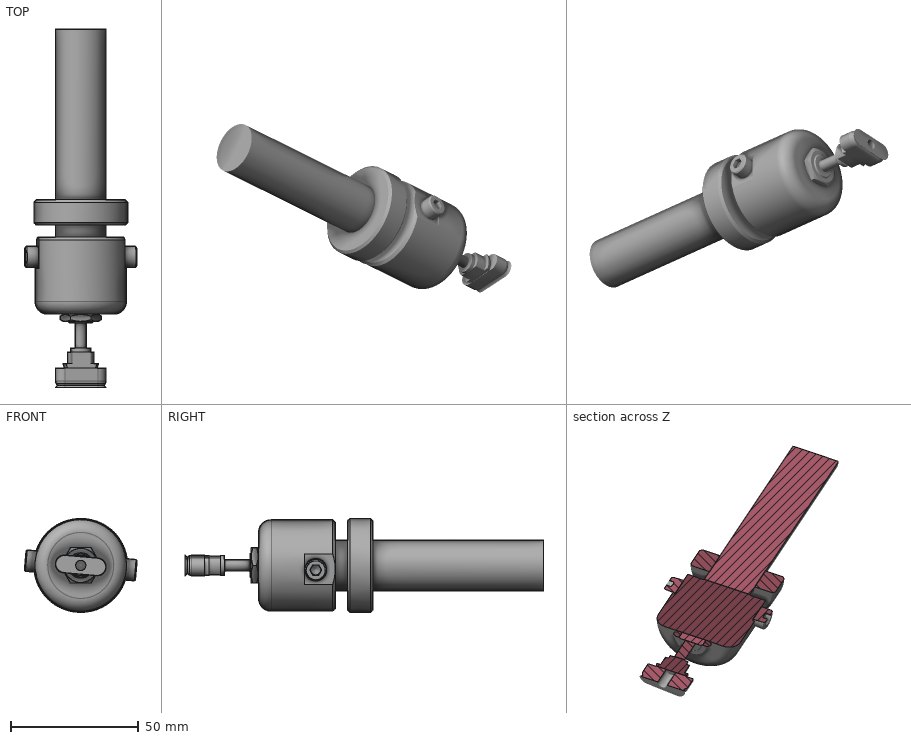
import cadquery as cq
import math


shaft_dia = 20.0
shaft_tail_length = 67.12

ring_dia = 37.0
ring_length = 10.0
ring_chamfer = 1.0
ring_gap = 4.75

cap_dia = 36.0
cap_length = 30.25
cap_nose_radius = 5.0
cap_rear_chamfer = 1.1

turn_angle = 5.0
flat_width = 12.0
flat_length = 12.25

screw_dia = 8.5
screw_head_height = 5.0
screw_setback = 7.75
screw_edge_chamfer = 0.5
socket_flats = 4.0
socket_depth = 2.0
socket_tip_height = 1.1

nut_flats = 14.0
nut_thickness = 3.0
nut_chamfer_dia = 13.4
nut_chamfer_angle = 30.0

bushing_dia = 10.0
bushing_length = 3.4
bushing_chamfer = 0.5

stem_dia = 4.5
stem_flare = 0.3

collar_dia = 8.0
neck_dia = 10.6
flange_dia = 14.0
flange_front_dia = 13.0
fitting_flats = 6.8
neck_edge_fillet = 0.5

collar_back = -13.4
neck_back = -15.0
flange_back = -19.5
cup_back = -21.2
taper_start = -26.3
taper_end = -27.2
groove_bottom = -28.0
cup_front = -28.95

cup_width = 20.0
cup_thickness = 7.0
groove_depth = 0.85
taper_inset = 0.2
air_hole_dia = 4.0

flat_offset = math.sqrt((cap_dia / 2) ** 2 - (flat_width / 2) ** 2)
cap_rear = cap_length
ring_front = cap_rear + ring_gap
ring_rear = ring_front + ring_length
shaft_end = ring_rear + shaft_tail_length
cup_radius = cup_thickness / 2
cup_center = cup_width / 2 - cup_radius
groove_radius = cup_radius - groove_depth


def rod(diameter, y_start, y_end):
    """Cylinder on the Y axis between two places."""
    return cq.Workplane("XZ", origin=(0, y_start, 0)).circle(diameter / 2).extrude(y_start - y_end)


def turned(body):
    """Body swung about the common axis by the shared turn angle."""
    return body.rotate((0, 0, 0), (0, 1, 0), turn_angle)


def make_shaft():
    return rod(shaft_dia, cap_rear, shaft_end)


def make_ring():
    """Collar with chamfered rims and a bore for the shaft."""
    blank = rod(ring_dia, ring_front, ring_rear).edges().chamfer(ring_chamfer)
    return blank.cut(rod(shaft_dia, ring_front, ring_rear))


def make_cap():
    """Solid cap with a rounded nose and two flat seats for the screws."""
    cap = rod(cap_dia, 0, cap_length)
    cap = cap.faces("<Y").edges().fillet(cap_nose_radius)
    cap = cap.faces(">Y").edges().chamfer(cap_rear_chamfer)
    for side in (-1, 1):
        cutter = cq.Workplane("XY").box(cap_dia, flat_length, cap_dia)
        cutter = cutter.translate((side * (flat_offset + cap_dia / 2), cap_rear - flat_length / 2, 0))
        cap = cap.cut(cutter)
    return turned(cap)


def make_screw(side):
    """Socket head standing on one of the flats of the cap."""
    head = cq.Workplane("XY").circle(screw_dia / 2).extrude(screw_head_height)
    head = head.faces(">Z").edges().chamfer(screw_edge_chamfer)
    corner_dia = socket_flats / math.cos(math.pi / 6)
    socket_floor = screw_head_height - socket_depth
    socket = cq.Workplane("XY", origin=(0, 0, socket_floor)).polygon(6, corner_dia).extrude(socket_depth)
    tip = cq.Solid.makeCone(0, socket_flats / 2, socket_tip_height).translate(
        cq.Vector(0, 0, socket_floor - socket_tip_height)
    )
    head = head.cut(socket).cut(cq.Workplane(tip)).rotate((0, 0, 0), (0, 0, 1), 90)
    head = head.rotate((0, 0, 0), (0, 1, 0), side * 90)
    return turned(head.translate((side * flat_offset, cap_rear - screw_setback, 0)))


def make_nut():
    """Hexagon nut with both ends chamfered, around the bushing."""
    corner_dia = nut_flats / math.cos(math.pi / 6)
    blank = cq.Workplane("XZ").polygon(6, corner_dia).extrude(nut_thickness)
    edge_drop = (corner_dia - nut_chamfer_dia) / 2 * math.tan(math.radians(nut_chamfer_angle))
    envelope = (
        cq.Workplane("XY")
        .moveTo(0, 0)
        .lineTo(nut_chamfer_dia / 2, 0)
        .lineTo(corner_dia / 2, -edge_drop)
        .lineTo(corner_dia / 2, edge_drop - nut_thickness)
        .lineTo(nut_chamfer_dia / 2, -nut_thickness)
        .lineTo(0, -nut_thickness)
        .close()
        .revolve(360, (0, 0, 0), (0, 1, 0))
    )
    return blank.intersect(envelope).cut(rod(bushing_dia, 0, -nut_thickness))


def make_bushing():
    return rod(bushing_dia, 0, -bushing_length).faces("<Y").edges().chamfer(bushing_chamfer)


def make_stem():
    """Pin with a small concave flare at each end."""
    radius = stem_dia / 2
    foot_radius = radius + stem_flare
    back = -bushing_length
    front = collar_back
    return (
        cq.Workplane("XY")
        .moveTo(0, back)
        .lineTo(foot_radius, back)
        .radiusArc((radius, back - stem_flare), -stem_flare)
        .lineTo(radius, front + stem_flare)
        .radiusArc((foot_radius, front), -stem_flare)
        .lineTo(0, front)
        .close()
        .revolve(360, (0, 0, 0), (0, 1, 0))
    )


def rounded_bar(profile):
    """Round-ended bar along X from a half profile drawn outward from the bar's middle plane."""
    half = profile.revolve(360, (0, 0, 0), (0, 1, 0))
    bar = half.translate((cup_center, 0, 0)).union(half.translate((-cup_center, 0, 0)))
    flank = profile.toPending().extrude(2 * cup_center).rotate((0, 0, 0), (0, 1, 0), -90)
    flank = flank.translate((cup_center, 0, 0))
    other_flank = flank.rotate((0, 0, 0), (0, 1, 0), 180)
    return bar.union(flank).union(other_flank)


def make_cup():
    """Oval suction cup with a tapered edge, a flared lip and an air hole right through."""
    outline = (
        cq.Workplane("XY")
        .moveTo(0, cup_back)
        .lineTo(cup_radius, cup_back)
        .lineTo(cup_radius, taper_start)
        .lineTo(cup_radius - taper_inset, taper_end)
        .lineTo(groove_radius, groove_bottom)
        .lineTo(cup_radius, cup_front)
        .lineTo(0, cup_front)
        .close()
    )
    return turned(rounded_bar(outline).cut(rod(air_hole_dia, cup_back, cup_front)))


def make_fitting():
    """Collar, flatted neck and tapered flange behind the cup."""
    slab = cq.Workplane("XY").box(flange_dia, 2 * abs(cup_back), fitting_flats)
    neck = rod(neck_dia, neck_back, flange_back).intersect(slab)
    neck = neck.edges("|Y").fillet(neck_edge_fillet)
    collar = rod(collar_dia, collar_back, neck_back)
    flange = (
        cq.Workplane("XZ", origin=(0, flange_back, 0))
        .circle(flange_dia / 2)
        .workplane(offset=flange_back - cup_back)
        .circle(flange_front_dia / 2)
        .loft(ruled=True)
        .intersect(slab)
    )
    return turned(collar.union(neck).union(flange))


shaft = make_shaft()
ring = make_ring()
cap = make_cap()
screws = [make_screw(side) for side in (-1, 1)]
nut = make_nut()
bushing = make_bushing()
stem = make_stem()
fitting = make_fitting()
cup = make_cup()

bodies = [shaft, ring, cap, *screws, nut, bushing, stem, fitting, cup]
result = cq.Compound.makeCompound([body.val() for body in bodies])